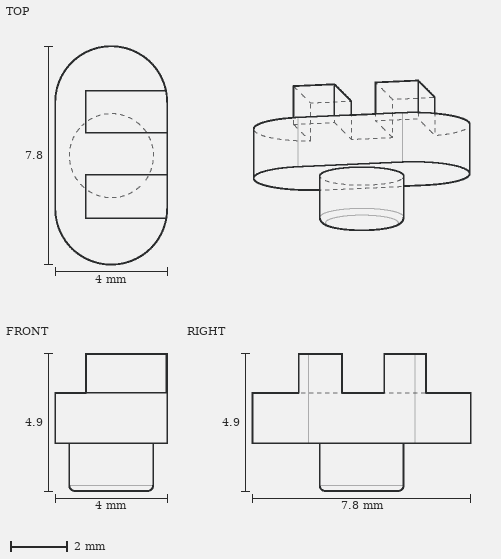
import cadquery as cq

plate_length = 7.8
plate_width = 4.0
plate_height = 1.8

pin_diameter = 3.0
pin_length = 1.7
pin_edge_radius = 0.2

block_height = 1.4
block_setback = 1.1
rear_block_start = 0.8
rear_block_width = 1.5
front_block_start = -2.25
front_block_width = 1.55


def rounded_slab(height):
    """Slab with the plate outline, standing on Z = 0."""
    return cq.Workplane("XY").slot2D(plate_length, plate_width, 90).extrude(height)


def top_block(start_y, width):
    """Block on the plate, trimmed to the plate outline."""
    block_length = plate_width - block_setback
    block = (
        cq.Workplane("XY")
        .box(block_length, width, block_height, centered=False)
        .translate((block_setback - plate_width / 2, start_y, plate_height))
    )
    return block.intersect(rounded_slab(plate_height + block_height))


def bottom_pin():
    """Pin hanging below the plate with a rounded lower edge."""
    return (
        cq.Workplane("XY")
        .circle(pin_diameter / 2)
        .extrude(-pin_length)
        .faces("<Z")
        .edges()
        .fillet(pin_edge_radius)
    )


result = (
    rounded_slab(plate_height)
    .union(bottom_pin())
    .union(top_block(rear_block_start, rear_block_width))
    .union(top_block(front_block_start, front_block_width))
)